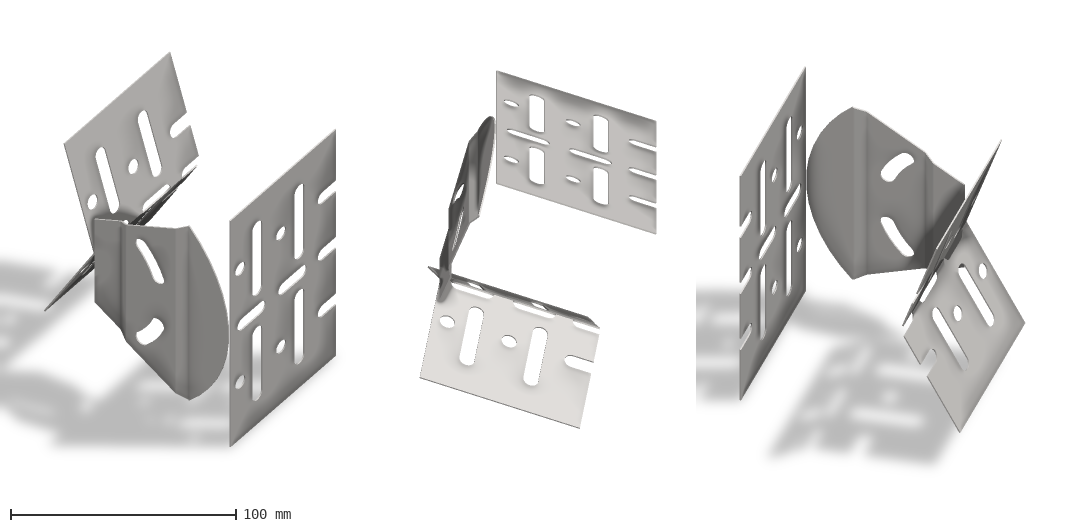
import cadquery as cq
import math


SHEET = 0.7
PLATE_WIDTH = 75.0

FLAT_HEIGHT = 140.0
FLAT_CENTER_Z = 0.7
FLAT_ROW_Z = 35.0
FLAT_SLOT_END = 55.0

LEAF_LENGTH = 60.2
LEAF_ROW = 23.7
LEAF_SLOT_END = 45.0
UPPER_LEAF_TILT = 16.7
LOWER_LEAF_TILT = 28.3
FOLD_X = -0.3
FOLD_Z = 3.5

HOLE_DIAMETER = 7.0
NOTCH_DEPTH = 13.0
HOLE_OFFSETS = (39.0, 68.0)
LONG_SLOT_OFFSETS = (26.0, 56.0)
LONG_SLOT_START = 10.0
CROSS_SLOT_OFFSETS = (31.0, 60.0)
CROSS_SLOT_LENGTH = 20.0

FAN_RADIUS = 76.2
FAN_ARC_HALF_ANGLE = 45.0
FAN_NARROW_HEIGHT = 51.2
BAND_HEIGHT = 2.5
BAND_RAMP = 5.0
BAND_START = 15.0
BAND_END = 53.0
BEND_INNER_RADIUS = 1.0
FAN_SLOT_RADIUS = 40.7
FAN_SLOT_WIDTH = 7.0
FAN_SLOT_ANGLES = (21.0, 45.0)

FAN_INNER_Y = -PLATE_WIDTH
FAN_DEPTH = BAND_HEIGHT + SHEET

CUT_REACH = 2 * SHEET
CORNER_REACH = SHEET / 10


def through_slots(centers, length, angle):
    """Obround cutters in the YZ plane, long enough to pass through a sheet lying on X = 0."""
    return (
        cq.Workplane("YZ")
        .pushPoints(centers)
        .slot2D(length, HOLE_DIAMETER, angle)
        .extrude(CUT_REACH, both=True)
    )


def round_row(z):
    """Row of round holes at height z, with an open notch in the +Y edge."""
    holes = (
        cq.Workplane("YZ")
        .pushPoints([(-offset, z) for offset in HOLE_OFFSETS])
        .circle(HOLE_DIAMETER / 2)
        .extrude(CUT_REACH, both=True)
    )
    return holes.union(notch(z))


def notch(z):
    """Round-ended notch running in from the +Y edge at height z."""
    return through_slots([(0, z)], 2 * NOTCH_DEPTH, 0)


def cross_row():
    """Row of slots along Y at height zero, with an open notch in the +Y edge."""
    slots = through_slots([(-offset, 0) for offset in CROSS_SLOT_OFFSETS], CROSS_SLOT_LENGTH, 0)
    return slots.union(notch(0))


def long_slots(slot_end):
    """Pair of slots along Z, reaching from LONG_SLOT_START up to slot_end."""
    center_z = (LONG_SLOT_START + slot_end) / 2
    centers = [(-offset, center_z) for offset in LONG_SLOT_OFFSETS]
    return through_slots(centers, slot_end - LONG_SLOT_START, 90)


def perforated_half(length, row_z, slot_end):
    """Half plate rising from Z = 0 on the +X side of X = 0, with its perforation."""
    sheet = cq.Workplane("XY").box(SHEET, PLATE_WIDTH, length, centered=False)
    return (
        sheet.translate((0, -PLATE_WIDTH, 0))
        .cut(long_slots(slot_end))
        .cut(round_row(row_z))
        .cut(cross_row())
    )


def make_flat_plate():
    """Upright plate whose two halves mirror each other about its mid height."""
    upper = perforated_half(FLAT_HEIGHT / 2, FLAT_ROW_Z, FLAT_SLOT_END)
    plate = upper.union(upper.mirror("XY")).clean()
    return plate.translate((FAN_RADIUS, 0, FLAT_CENTER_Z))


def make_bent_plate():
    """Two equal leaves tilted back towards -X from a fold along Y."""
    leaf = perforated_half(LEAF_LENGTH, LEAF_ROW, LEAF_SLOT_END).translate((-SHEET, 0, 0))
    upper = leaf.rotate((0, 0, 0), (0, 1, 0), -UPPER_LEAF_TILT)
    lower = leaf.mirror("XY").rotate((0, 0, 0), (0, 1, 0), LOWER_LEAF_TILT)
    return upper.union(lower).translate((FOLD_X, 0, FOLD_Z))


def bend_edge(corner):
    """Selector for the bend edge that runs along Z through a corner of the fan's section."""
    x, y = corner
    return cq.selectors.BoxSelector(
        (x - CORNER_REACH, y - CORNER_REACH, -FAN_RADIUS),
        (x + CORNER_REACH, y + CORNER_REACH, FAN_RADIUS),
    )


def fan_section():
    """Sheet with its raised band and rounded bends, swept over the full height of the fan."""
    line = [
        (0, FAN_INNER_Y),
        (BAND_START, FAN_INNER_Y),
        (BAND_START + BAND_RAMP, FAN_INNER_Y - BAND_HEIGHT),
        (BAND_END - BAND_RAMP, FAN_INNER_Y - BAND_HEIGHT),
        (BAND_END, FAN_INNER_Y),
        (FAN_RADIUS, FAN_INNER_Y),
    ]
    miter = SHEET * math.tan(math.atan2(BAND_HEIGHT, BAND_RAMP) / 2)
    outer_shifts = (0, -miter, -miter, miter, miter, 0)
    outer_line = [(x + shift, y - SHEET) for (x, y), shift in zip(line, outer_shifts)]
    section = cq.Workplane("XY").polyline(line + outer_line[::-1]).close()
    sheet = section.extrude(FAN_RADIUS, both=True)

    bend_outer_radius = BEND_INNER_RADIUS + SHEET
    inside_bends = (outer_line[1], line[2], line[3], outer_line[4])
    outside_bends = (line[1], outer_line[2], outer_line[3], line[4])
    for corner in inside_bends:
        sheet = sheet.edges(bend_edge(corner)).fillet(BEND_INNER_RADIUS)
    for corner in outside_bends:
        sheet = sheet.edges(bend_edge(corner)).fillet(bend_outer_radius)
    return sheet


def polar_point(radius, angle):
    """XZ position at a radius and an angle in degrees from +X."""
    return (radius * math.cos(math.radians(angle)), radius * math.sin(math.radians(angle)))


def fan_outline():
    """Tapered outline ending in the round edge, thick enough in Y to hold the whole section."""
    corner_x, corner_z = polar_point(FAN_RADIUS, FAN_ARC_HALF_ANGLE)
    return (
        cq.Workplane("XZ", origin=(0, FAN_INNER_Y, 0))
        .moveTo(0, -FAN_NARROW_HEIGHT / 2)
        .lineTo(corner_x, -corner_z)
        .threePointArc((FAN_RADIUS, 0), (corner_x, corner_z))
        .lineTo(0, FAN_NARROW_HEIGHT / 2)
        .close()
        .extrude(FAN_DEPTH)
    )


def fan_slot():
    """Curved slot cutter concentric with the round edge, with round ends."""
    start, end = FAN_SLOT_ANGLES
    middle = (start + end) / 2
    inner = FAN_SLOT_RADIUS - FAN_SLOT_WIDTH / 2
    outer = FAN_SLOT_RADIUS + FAN_SLOT_WIDTH / 2
    band = (
        cq.Workplane("XZ", origin=(0, FAN_INNER_Y, 0))
        .moveTo(*polar_point(inner, start))
        .threePointArc(polar_point(inner, middle), polar_point(inner, end))
        .lineTo(*polar_point(outer, end))
        .threePointArc(polar_point(outer, middle), polar_point(outer, start))
        .close()
        .extrude(FAN_DEPTH)
    )
    ends = (
        cq.Workplane("XZ", origin=(0, FAN_INNER_Y, 0))
        .pushPoints([polar_point(FAN_SLOT_RADIUS, angle) for angle in FAN_SLOT_ANGLES])
        .circle(FAN_SLOT_WIDTH / 2)
        .extrude(FAN_DEPTH)
    )
    return band.union(ends)


def make_fan():
    """Banded fan with one curved slot above and one below the middle."""
    slot = fan_slot()
    return fan_section().intersect(fan_outline()).cut(slot).cut(slot.mirror("XY"))


flat_plate = make_flat_plate()
bent_plate = make_bent_plate()
fan = make_fan()

result = cq.Compound.makeCompound([flat_plate.val(), bent_plate.val(), fan.val()])